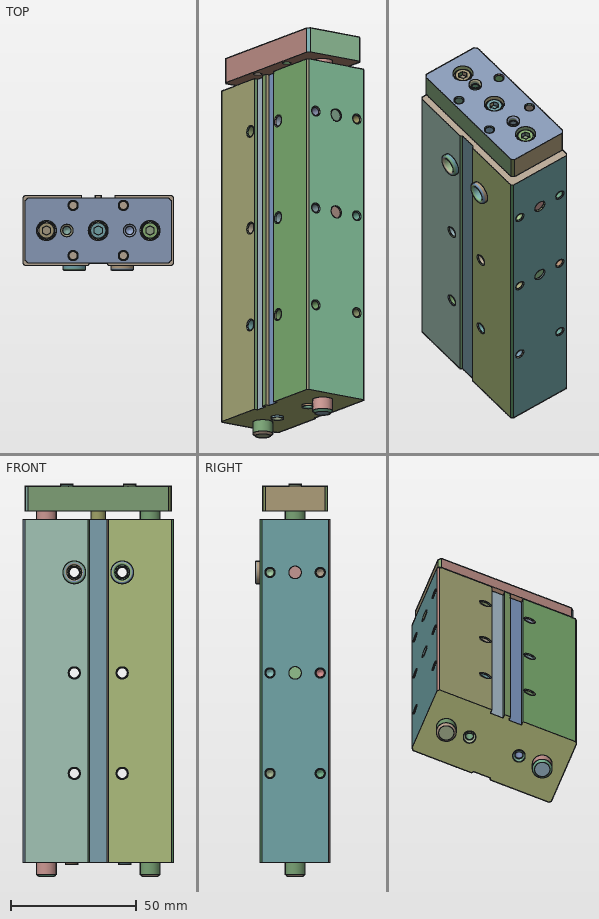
import cadquery as cq
import math

TOTAL_HEIGHT = 156.1

SMALL_SLEEVE_DIA = 5.0
SMALL_SLEEVE_BORE = 3.3
SMALL_SLEEVE_STICKOUT = 0.8
SMALL_SLEEVE_DEPTH = 1.2
LARGE_SLEEVE_DIA = 9.0
LARGE_SLEEVE_BORE = 6.0
LARGE_SLEEVE_STICKOUT = 1.9
LARGE_SLEEVE_DEPTH = 2.0
SMALL_SLEEVE_BORE_ROUNDING = 0.8
LARGE_SLEEVE_BORE_ROUNDING = 0.6
LARGE_SLEEVE_NOSE_RADIUS = 0.6

HOUSING_WIDTH = 60.0
HOUSING_THICKNESS = 28.0
HOUSING_BOTTOM = 5.6
HOUSING_TOP = 142.0
HOUSING_EDGE_CHAMFER = 0.8
HOUSING_HEIGHT = HOUSING_TOP - HOUSING_BOTTOM
FRONT_Y = -HOUSING_THICKNESS / 2
BACK_Y = HOUSING_THICKNESS / 2
SIDE_X = HOUSING_WIDTH / 2

FRONT_GROOVE_MOUTH = 8.0
FRONT_GROOVE_FLOOR = 7.0
FRONT_GROOVE_DEPTH = 0.8
BACK_CHANNEL_WIDTH = 13.3
BACK_CHANNEL_DEPTH = 1.5
BACK_RIB_WIDTH = 2.5

TOP_ROW_Z = 121.0
ROW_PITCH = 40.0
ROW_HEIGHTS = [TOP_ROW_Z - i * ROW_PITCH for i in range(3)]
THROUGH_HOLE_X = 9.5
THROUGH_HOLE_DIA = 4.0
THREAD_DIA = 3.3
THREAD_DEPTH = 8.0
THREAD_SPACING = 10.0
HOLE_CHAMFER = 0.39
DRILL_TIP_ANGLE = 118
SIDE_RECESS_DEPTH = 0.8
BOTTOM_SLEEVE_X = 10.6

GUIDE_ROD_DIA = 8.0
GUIDE_ROD_X = 20.6
GUIDE_ROD_CHAMFER = 1.0
PISTON_ROD_DIA = 6.0
PISTON_ROD_INSERTION = 15.6

PLATE_WIDTH = 58.0
PLATE_THICKNESS = 25.9
PLATE_HEIGHT = 10.0
PLATE_EDGE_CHAMFER = 1.1
PLATE_TOP = TOTAL_HEIGHT - SMALL_SLEEVE_STICKOUT
PLATE_BOTTOM = PLATE_TOP - PLATE_HEIGHT
PLATE_SLEEVE_X = 12.5
SCREW_SEAT_DIA = 8.0
SCREW_SEAT_DEPTH = 4.0
SCREW_HEAD_DIA = 7.0
SCREW_HEAD_CHAMFER = 0.5
SCREW_HEAD_RECESS = 1.0
SOCKET_CORNER_DIA = 3.7
SOCKET_DEPTH = 2.0

DOWN = (0, 0, -1)
UP = (0, 0, 1)
BACKWARD = (0, 1, 0)
FORWARD = (0, -1, 0)


def cylinder(dia, length, start, direction):
    return cq.Workplane(
        cq.Solid.makeCylinder(dia / 2, length, cq.Vector(*start), cq.Vector(*direction))
    )


def countersink(dia, start, direction):
    """Cone that breaks the mouth of a hole of the given diameter."""
    return cq.Workplane(
        cq.Solid.makeCone(
            dia / 2 + HOLE_CHAMFER, dia / 2, HOLE_CHAMFER, cq.Vector(*start), cq.Vector(*direction)
        )
    )


def chamfered_hole(dia, length, start, direction):
    return cylinder(dia, length, start, direction).union(countersink(dia, start, direction))


def drilled_hole(dia, depth, start, direction):
    """Blind chamfered hole with a conical drill tip."""
    tip_length = dia / 2 / math.tan(math.radians(DRILL_TIP_ANGLE / 2))
    tip_start = cq.Vector(*start) + cq.Vector(*direction) * depth
    tip = cq.Solid.makeCone(dia / 2, 0, tip_length, tip_start, cq.Vector(*direction))
    return chamfered_hole(dia, depth, start, direction).union(cq.Workplane(tip))


def sleeve_pocket(start, direction):
    """Seat for a small sleeve with a threaded hole below it."""
    seat = cylinder(SMALL_SLEEVE_DIA, SMALL_SLEEVE_DEPTH, start, direction)
    return seat.union(drilled_hole(THREAD_DIA, THREAD_DEPTH, start, direction))


def make_sleeve(dia, bore, bore_rounding, stickout, depth, face_point, direction):
    """Tube that sits `depth` into a face and stands `stickout` proud, its bore rounded off at both ends."""
    inward = cq.Vector(*direction)
    plane = cq.Plane(cq.Vector(*face_point) - inward * stickout, normal=direction)
    tube = cq.Workplane(plane).circle(dia / 2).circle(bore / 2).extrude(stickout + depth)
    bore_edges = cq.selectors.RadiusNthSelector(0)
    return tube.edges(bore_edges).fillet(bore_rounding)


def make_housing():
    body = (
        cq.Workplane("XY", origin=(0, 0, HOUSING_BOTTOM))
        .rect(HOUSING_WIDTH, HOUSING_THICKNESS)
        .extrude(HOUSING_HEIGHT)
        .edges("|Z")
        .chamfer(HOUSING_EDGE_CHAMFER)
    )
    floor = cq.Workplane("XY", origin=(0, 0, HOUSING_BOTTOM))

    groove = (
        floor.moveTo(-FRONT_GROOVE_MOUTH / 2, FRONT_Y)
        .lineTo(FRONT_GROOVE_MOUTH / 2, FRONT_Y)
        .lineTo(FRONT_GROOVE_FLOOR / 2, FRONT_Y + FRONT_GROOVE_DEPTH)
        .lineTo(-FRONT_GROOVE_FLOOR / 2, FRONT_Y + FRONT_GROOVE_DEPTH)
        .close()
        .extrude(HOUSING_HEIGHT)
    )
    body = body.cut(groove)

    back = floor.center(0, BACK_Y)
    channel = back.rect(BACK_CHANNEL_WIDTH, 2 * BACK_CHANNEL_DEPTH).extrude(HOUSING_HEIGHT)
    rib = back.rect(BACK_RIB_WIDTH, 2 * BACK_CHANNEL_DEPTH).extrude(HOUSING_HEIGHT)
    body = body.cut(channel.cut(rib))

    for x in (-GUIDE_ROD_X, GUIDE_ROD_X):
        body = body.cut(cylinder(GUIDE_ROD_DIA, HOUSING_HEIGHT, (x, 0, HOUSING_BOTTOM), UP))
    body = body.cut(cylinder(PISTON_ROD_DIA, PISTON_ROD_INSERTION, (0, 0, HOUSING_TOP), DOWN))

    for x in (-THROUGH_HOLE_X, THROUGH_HOLE_X):
        body = body.cut(
            cylinder(LARGE_SLEEVE_DIA, LARGE_SLEEVE_DEPTH, (x, FRONT_Y, TOP_ROW_Z), BACKWARD)
        )
        body = body.cut(
            countersink(THROUGH_HOLE_DIA, (x, FRONT_Y + LARGE_SLEEVE_DEPTH, TOP_ROW_Z), BACKWARD)
        )
        for z in ROW_HEIGHTS:
            body = body.cut(
                chamfered_hole(THROUGH_HOLE_DIA, HOUSING_THICKNESS, (x, FRONT_Y, z), BACKWARD)
            )
            body = body.cut(countersink(THROUGH_HOLE_DIA, (x, BACK_Y, z), FORWARD))

    for side in (-1, 1):
        inward = (-side, 0, 0)
        for z in ROW_HEIGHTS:
            for y in (-THREAD_SPACING, THREAD_SPACING):
                body = body.cut(drilled_hole(THREAD_DIA, THREAD_DEPTH, (side * SIDE_X, y, z), inward))
        for z in ROW_HEIGHTS[:2]:
            body = body.cut(
                cylinder(SMALL_SLEEVE_DIA, SIDE_RECESS_DEPTH, (side * SIDE_X, 0, z), inward)
            )

    for x in (-BOTTOM_SLEEVE_X, BOTTOM_SLEEVE_X):
        body = body.cut(sleeve_pocket((x, 0, HOUSING_BOTTOM), UP))
    return body


def make_end_plate():
    """End plate in one piece with the piston rod and the sunk screw heads."""
    plate = (
        cq.Workplane("XY", origin=(0, 0, PLATE_BOTTOM))
        .rect(PLATE_WIDTH, PLATE_THICKNESS)
        .extrude(PLATE_HEIGHT)
        .edges("|Z")
        .chamfer(PLATE_EDGE_CHAMFER)
    )

    head_top = PLATE_TOP - SCREW_HEAD_RECESS
    head_height = SCREW_SEAT_DEPTH - SCREW_HEAD_RECESS
    for x in (-GUIDE_ROD_X, 0, GUIDE_ROD_X):
        seat = cylinder(SCREW_SEAT_DIA, SCREW_SEAT_DEPTH, (x, 0, PLATE_TOP), DOWN)
        head = cylinder(SCREW_HEAD_DIA, head_height, (x, 0, head_top), DOWN)
        head = head.faces(">Z").chamfer(SCREW_HEAD_CHAMFER)
        socket = (
            cq.Workplane("XY", origin=(x, 0, head_top))
            .transformed(rotate=(0, 0, 90))
            .polygon(6, SOCKET_CORNER_DIA)
            .extrude(-SOCKET_DEPTH)
        )
        plate = plate.cut(seat.cut(head)).cut(socket)

    for x in (-THREAD_SPACING, THREAD_SPACING):
        for y in (-THREAD_SPACING, THREAD_SPACING):
            plate = plate.cut(chamfered_hole(THREAD_DIA, PLATE_HEIGHT, (x, y, PLATE_TOP), DOWN))

    for x in (-PLATE_SLEEVE_X, PLATE_SLEEVE_X):
        plate = plate.cut(sleeve_pocket((x, 0, PLATE_TOP), DOWN))

    rod_length = PLATE_BOTTOM - HOUSING_TOP + PISTON_ROD_INSERTION
    return plate.union(cylinder(PISTON_ROD_DIA, rod_length, (0, 0, PLATE_BOTTOM), DOWN))


def make_guide_rod(x):
    """Rod through the housing, butting against the underside of the end plate."""
    rod = cylinder(GUIDE_ROD_DIA, PLATE_BOTTOM, (x, 0, 0), UP)
    return rod.faces("<Z").chamfer(GUIDE_ROD_CHAMFER)


def make_small_sleeve(face_point, direction):
    return make_sleeve(
        SMALL_SLEEVE_DIA,
        SMALL_SLEEVE_BORE,
        SMALL_SLEEVE_BORE_ROUNDING,
        SMALL_SLEEVE_STICKOUT,
        SMALL_SLEEVE_DEPTH,
        face_point,
        direction,
    )


def make_large_sleeve(face_point, direction):
    sleeve = make_sleeve(
        LARGE_SLEEVE_DIA,
        LARGE_SLEEVE_BORE,
        LARGE_SLEEVE_BORE_ROUNDING,
        LARGE_SLEEVE_STICKOUT,
        LARGE_SLEEVE_DEPTH,
        face_point,
        direction,
    )
    return sleeve.faces("<Y").edges(cq.selectors.RadiusNthSelector(-1)).fillet(LARGE_SLEEVE_NOSE_RADIUS)


housing = make_housing()
end_plate = make_end_plate()
guide_rods = [make_guide_rod(side * GUIDE_ROD_X) for side in (-1, 1)]
front_sleeves = [
    make_large_sleeve((side * THROUGH_HOLE_X, FRONT_Y, TOP_ROW_Z), BACKWARD) for side in (-1, 1)
]
plate_sleeves = [make_small_sleeve((side * PLATE_SLEEVE_X, 0, PLATE_TOP), DOWN) for side in (-1, 1)]
bottom_sleeves = [
    make_small_sleeve((side * BOTTOM_SLEEVE_X, 0, HOUSING_BOTTOM), UP) for side in (-1, 1)
]

repeated_bodies = guide_rods + front_sleeves + plate_sleeves + bottom_sleeves
result = cq.Compound.makeCompound(
    [housing.val(), end_plate.val(), *[body.val() for body in repeated_bodies]]
)